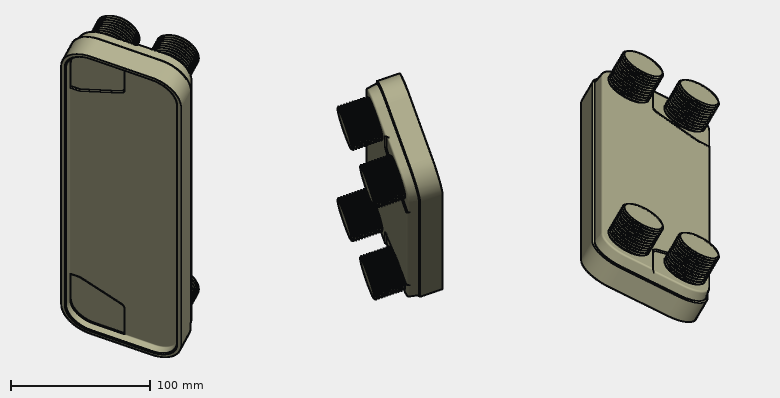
import cadquery as cq
import math

width = 94.0
height = 324.0
depth = 50.0
corner_radius = 23.0

skirt_depth = 17.1
back_shoulder_width = 1.5
shoulder_depth = 0.7
back_y = 26.4
back_taper = 10.0
back_edge_round = 1.5

rim_width = 2.9
recess_shoulder_width = 0.9
recess_depth = 6.1
recess_taper = 8.0
floor_edge_round = 0.7

pad_shift = 1.0
pad_bevel = 1.0
pad_edge_x = 0.3
pad_side_z = 108.7
pad_inner_z = 124.5
pad_flat_end_x = -35.0
pad_corner_round = 5.0
pad_overhang = 10.0

port_x = 23.0
port_z = 135.0
port_length = depth - back_y
thread_diameter = 33.25
thread_turns = 11
thread_pitch = port_length / thread_turns
thread_depth = 1.1


def plane_at(y):
    """Plane at the given Y whose normal points toward +Y."""
    return cq.Plane(origin=(0, y, 0), xDir=(-1, 0, 0), normal=(0, 1, 0))


def rounded_block(inset, y_start, length, taper=0.0):
    """Block along +Y whose outline follows the plate outline, moved inward by inset."""
    outline = (
        cq.Sketch()
        .rect(width - 2 * inset, height - 2 * inset)
        .vertices()
        .fillet(corner_radius - inset)
    )
    return cq.Workplane(plane_at(y_start)).placeSketch(outline).extrude(length, taper=taper)


def stepped_block(inset, shoulder_width, y_start, y_end, wall_taper, end_round):
    """Sloped shoulder followed by a tapered wall, with a rounded edge at the +Y end."""
    shoulder_taper = math.degrees(math.atan(shoulder_width / shoulder_depth))
    shoulder = rounded_block(inset, y_start, shoulder_depth, shoulder_taper)
    wall_start = y_start + shoulder_depth
    wall = rounded_block(inset + shoulder_width, wall_start, y_end - wall_start, wall_taper)
    return shoulder.union(wall.faces(">Y").edges().fillet(end_round))


def pad_block(end, y_start, length, taper):
    """Five-sided corner block along +Y; end is +1 at the top and -1 at the bottom."""
    outer_x = -width / 2 - pad_overhang
    outer_z = height / 2 + pad_overhang
    corners = [
        (outer_x, outer_z),
        (pad_edge_x, outer_z),
        (pad_edge_x, pad_inner_z),
        (pad_flat_end_x, pad_side_z),
        (outer_x, pad_side_z),
        (outer_x, outer_z),
    ]
    points = [(-x, end * z) for x, z in corners]
    outline = cq.Sketch().polygon(points).vertices().fillet(pad_corner_round)
    return cq.Workplane(plane_at(y_start)).placeSketch(outline).extrude(length, taper=taper)


def make_plate_pack():
    bevel_angle = math.degrees(math.atan(pad_bevel / pad_shift))
    pad_back_y = back_y - pad_shift

    back = stepped_block(0, back_shoulder_width, skirt_depth, back_y, back_taper, back_edge_round)
    low_back = stepped_block(0, back_shoulder_width, skirt_depth, pad_back_y, back_taper, back_edge_round)
    recess = stepped_block(rim_width, recess_shoulder_width, 0, recess_depth, recess_taper, floor_edge_round)
    deep_recess = rounded_block(
        rim_width + recess_shoulder_width,
        shoulder_depth,
        recess_depth + pad_shift - shoulder_depth,
        recess_taper,
    )

    for end in (1, -1):
        back_tool = pad_block(end, pad_back_y - back_edge_round, pad_shift + back_edge_round, -bevel_angle)
        back = back.cut(back_tool.cut(low_back))
        floor_tool = pad_block(end, recess_depth, pad_shift, bevel_angle)
        recess = recess.union(floor_tool.intersect(deep_recess))
    return rounded_block(0, 0, skirt_depth).union(back).cut(recess)


def make_port(x, z, base_y):
    """Solid stub along +Y with V thread rings over its full length."""
    crest = thread_diameter / 2
    root = crest - thread_depth
    profile = cq.Workplane("XY").lineTo(root, 0)
    for turn in range(thread_turns):
        start = turn * thread_pitch
        profile = profile.lineTo(crest, start + thread_pitch / 2)
        profile = profile.lineTo(root, start + thread_pitch)
    profile = profile.lineTo(0, port_length).close()
    return profile.revolve(360, (0, 0, 0), (0, 1, 0)).translate((x, base_y, z))


plate_pack = make_plate_pack()

ports = []
for side, base_y in ((-1, back_y - pad_shift), (1, back_y)):
    for end in (-1, 1):
        ports.append(make_port(side * port_x, end * port_z, base_y))

result = cq.Compound.makeCompound([plate_pack.val(), *[port.val() for port in ports]])